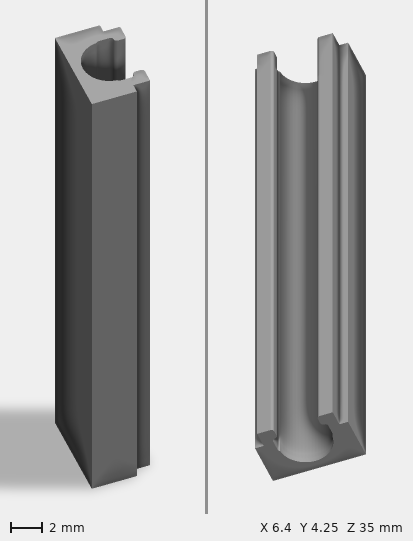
import cadquery as cq
import math

length = 35.0
body_width = 6.4
body_height = 3.1
lug_outer_width = 5.2
overall_height = 4.25
mouth_width = 3.0
corner_radius = 0.2

bore_radius = 1.8
bore_floor = 0.65
bore_center_y = bore_floor + bore_radius

groove_top = 3.45
groove_bore_junction_y = 2.3

half_body = body_width / 2
half_lugs = lug_outer_width / 2
half_mouth = mouth_width / 2

groove_wall_x = half_mouth + 2 * corner_radius

junction_x = math.sqrt(bore_radius**2 - (bore_center_y - groove_bore_junction_y) ** 2)
corner_center_x = groove_wall_x - corner_radius
corner_drop = math.sqrt(corner_radius**2 - (junction_x - corner_center_x) ** 2)
groove_wall_bottom = groove_bore_junction_y + corner_drop


def outer_side(outline):
    """Add the base, body side, shoulder and lug, ending on top of the lug."""
    return (
        outline.moveTo(0, 0)
        .lineTo(half_body, 0)
        .lineTo(half_body, body_height)
        .lineTo(half_lugs, body_height)
        .lineTo(half_lugs, overall_height)
        .lineTo(half_mouth + corner_radius, overall_height)
    )


def lip(outline):
    """Add the inner face of the lug with its two rounded corners."""
    return (
        outline.radiusArc((half_mouth, overall_height - corner_radius), -corner_radius)
        .lineTo(half_mouth, groove_top + corner_radius)
        .radiusArc((half_mouth + corner_radius, groove_top), -corner_radius)
    )


def groove_and_bore(outline):
    """Add the groove with its rounded corners and the bore down to the symmetry plane."""
    return (
        outline.radiusArc((groove_wall_x, groove_top - corner_radius), corner_radius)
        .lineTo(groove_wall_x, groove_wall_bottom)
        .radiusArc((junction_x, groove_bore_junction_y), corner_radius)
        .radiusArc((0, bore_floor), bore_radius)
    )


half_outline = groove_and_bore(lip(outer_side(cq.Workplane("XY"))))
result = half_outline.mirrorY().extrude(length)